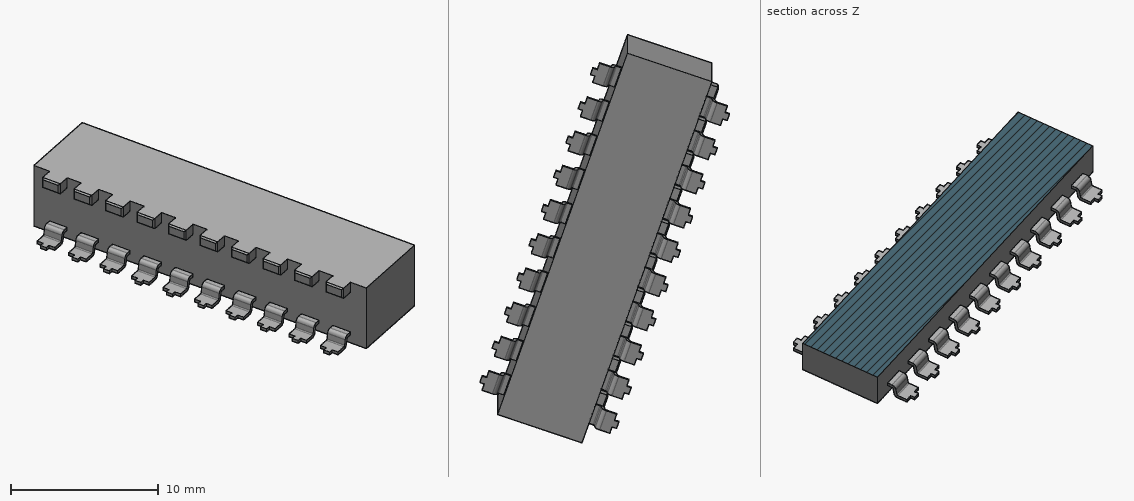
import cadquery as cq
import math


BODY_LENGTH = 26.8
BODY_WIDTH = 6.05
TOTAL_WIDTH = 9.8
TOTAL_HEIGHT = 5.1
STANDOFF = 0.08

POSITIONS = 10
ROW_SPAN = 22.83
PITCH = ROW_SPAN / (POSITIONS - 1)

KNOB_WIDTH = 1.42
KNOB_HEIGHT = 0.83
KNOB_REACH = 0.96
KNOB_CHAMFER = 0.1

LEAD_WIDTH = 1.42
LEAD_THICKNESS = 0.25
LEAD_TOP = 1.0
LEAD_FLAT = 0.35
BEND_INNER = 0.08
BEND_TURN = math.radians(80)
TIP_WIDTH = 0.48
TIP_LENGTH = 0.32

BEND_OUTER = BEND_INNER + LEAD_THICKNESS
BODY_SIDE = BODY_WIDTH / 2
ROOT_DEPTH = 0.27

position_xs = [(i - (POSITIONS - 1) / 2) * PITCH for i in range(POSITIONS)]


def make_body():
    height = TOTAL_HEIGHT - STANDOFF
    body = cq.Workplane("XY").box(BODY_LENGTH, BODY_WIDTH, height, centered=(True, True, False))
    return body.translate((0, 0, STANDOFF))


def make_knob():
    """Block on the -Y side with its outer face bevelled all round."""
    knob = cq.Workplane("XY").box(
        KNOB_WIDTH, KNOB_REACH + ROOT_DEPTH, KNOB_HEIGHT, centered=(True, False, False)
    )
    knob = knob.faces("<Y").chamfer(KNOB_CHAMFER)
    return knob.translate((0, -BODY_SIDE - KNOB_REACH, TOTAL_HEIGHT - KNOB_HEIGHT))


def arc_point(centre, radius, angle):
    return (centre[0] + radius * math.cos(angle), centre[1] + radius * math.sin(angle))


def make_lead():
    """Gull-wing lead on the +Y side: flat root, two equal bends, flat foot and narrow tip."""
    rise = LEAD_TOP - 2 * BEND_OUTER
    run = (BEND_INNER + BEND_OUTER + rise * math.cos(BEND_TURN)) / math.sin(BEND_TURN)
    upper = (BODY_SIDE + LEAD_FLAT, LEAD_TOP - BEND_OUTER)
    lower = (upper[0] + run, BEND_OUTER)

    up = math.pi / 2
    up_mid = up - BEND_TURN / 2
    up_end = up - BEND_TURN
    down = up + math.pi
    down_mid = up_mid + math.pi
    down_end = up_end + math.pi

    root = BODY_SIDE - ROOT_DEPTH
    tip = TOTAL_WIDTH / 2
    lead = (
        cq.Workplane("YZ")
        .moveTo(root, LEAD_TOP)
        .lineTo(*arc_point(upper, BEND_OUTER, up))
        .threePointArc(arc_point(upper, BEND_OUTER, up_mid), arc_point(upper, BEND_OUTER, up_end))
        .lineTo(*arc_point(lower, BEND_INNER, down_end))
        .threePointArc(arc_point(lower, BEND_INNER, down_mid), arc_point(lower, BEND_INNER, down))
        .lineTo(tip, LEAD_THICKNESS)
        .lineTo(tip, 0)
        .lineTo(*arc_point(lower, BEND_OUTER, down))
        .threePointArc(arc_point(lower, BEND_OUTER, down_mid), arc_point(lower, BEND_OUTER, down_end))
        .lineTo(*arc_point(upper, BEND_INNER, up_end))
        .threePointArc(arc_point(upper, BEND_INNER, up_mid), arc_point(upper, BEND_INNER, up))
        .lineTo(root, LEAD_TOP - LEAD_THICKNESS)
        .close()
        .extrude(LEAD_WIDTH / 2, both=True)
    )

    corner_width = (LEAD_WIDTH - TIP_WIDTH) / 2
    corner_x = (LEAD_WIDTH - corner_width) / 2
    corners = (
        cq.Workplane("XY")
        .pushPoints([(-corner_x, tip - TIP_LENGTH / 2), (corner_x, tip - TIP_LENGTH / 2)])
        .rect(corner_width, TIP_LENGTH)
        .extrude(LEAD_THICKNESS)
    )
    return lead.cut(corners)


knob = make_knob()
back_lead = make_lead()
front_lead = back_lead.mirror("XZ")

result = make_body()
for x in position_xs:
    for feature in (knob, back_lead, front_lead):
        result = result.union(feature.translate((x, 0, 0)))